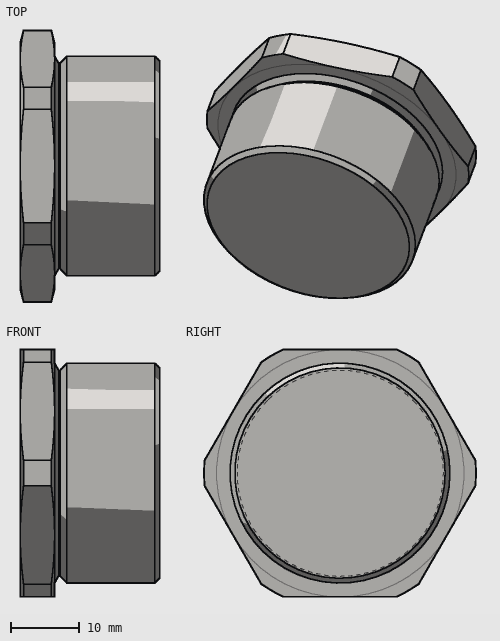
import math
import cadquery as cq

across_flats = 36.0
corner_diameter = 39.6
head_thickness = 5.0
corner_bevel_angle = 15.0

overall_length = 20.3
body_diameter = 32.0
body_radius = body_diameter / 2
end_chamfer = 0.7

groove_diameter = 30.0
groove_depth = (body_diameter - groove_diameter) / 2
groove_floor_end = 5.8
body_flank_length = groove_depth
head_flank_angle = 30.0
head_flank_length = groove_depth * math.tan(math.radians(head_flank_angle))


def hexagonal_head():
    """Hexagon prism along +X, with flats facing +Z and -Z and its corners turned down."""
    hexagon_diameter = across_flats / math.cos(math.pi / 6)
    prism = cq.Workplane("YZ").polygon(6, hexagon_diameter).extrude(head_thickness)
    flat_radius = across_flats / 2
    corner_radius = corner_diameter / 2
    bevel_length = (corner_radius - flat_radius) * math.tan(math.radians(corner_bevel_angle))
    envelope = (
        cq.Workplane("XY")
        .polyline([
            (0, 0),
            (0, flat_radius),
            (bevel_length, corner_radius),
            (head_thickness - bevel_length, corner_radius),
            (head_thickness, flat_radius),
            (head_thickness, 0),
        ])
        .close()
        .revolve(360, (0, 0, 0), (1, 0, 0))
    )
    return prism.intersect(envelope)


def plug_body():
    """Round body with a relief groove behind the head and a chamfered free end."""
    groove_radius = groove_diameter / 2
    return (
        cq.Workplane("XY")
        .moveTo(head_thickness, 0)
        .lineTo(head_thickness, body_radius)
        .lineTo(head_thickness + head_flank_length, groove_radius)
        .lineTo(groove_floor_end, groove_radius)
        .lineTo(groove_floor_end + body_flank_length, body_radius)
        .lineTo(overall_length - end_chamfer, body_radius)
        .lineTo(overall_length, body_radius - end_chamfer)
        .lineTo(overall_length, 0)
        .close()
        .revolve(360, (0, 0, 0), (1, 0, 0))
    )


result = hexagonal_head().union(plug_body())